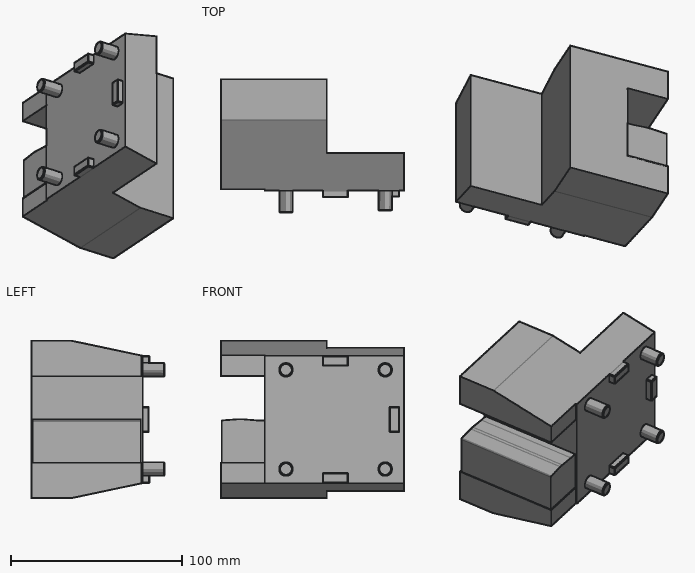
import cadquery as cq

length = 107.0
height = 92.0
body_depth = 65.2
mounting_height = 74.5
straight_depth = 23.6
thick_length = 62.0
thin_depth = 22.1

bay_length = 25.6
bay_half_height = 25.4
arm_setback = 0.7

block_left = 0.4
block_front = 1.2
block_back_gap = 0.7
block_side_top = -0.5
block_crown_top = 0.2
crown_start = 10.3
crown_end = 12.3
shoulder = 21.4
block_edge_radius = 0.5

pin_diameter = 8.0
tip_chamfer = 0.6
pin_spacing = 58.0
left_pin_x = 38.0
left_pin_length = 12.8
right_pin_length = 11.8

key_length = 15.0
key_width = 6.0
key_height = 4.0
side_key_height = 3.6
key_chamfer = 0.5
key_x = 66.9
side_key_x = 101.3


def box(x_start, x_end, y_start, y_end, z_start, z_end):
    """Box between two corners."""
    size = (x_end - x_start, y_end - y_start, z_end - z_start)
    return cq.Workplane("XY").box(*size, centered=False).translate((x_start, y_start, z_start))


def make_body():
    """Tapered block, thinner at the right end and open at the left end."""
    slope_end = body_depth - straight_depth
    half_height = height / 2
    half_mounting = mounting_height / 2
    taper = (
        cq.Workplane("YZ")
        .polyline([
            (0, -half_mounting),
            (slope_end, -half_height),
            (body_depth, -half_height),
            (body_depth, half_height),
            (slope_end, half_height),
            (0, half_mounting),
        ])
        .close()
        .extrude(length)
    )
    back_step = box(thick_length, length, thin_depth, body_depth, -half_height, half_height)
    bay = box(0, bay_length, 0, body_depth, -bay_half_height, bay_half_height)
    arm_relief = box(0, bay_length, 0, arm_setback, -half_height, half_height)
    return taper.cut(back_step).cut(bay).cut(arm_relief)


def make_block():
    """Crowned block standing on the lower arm."""
    block_depth = body_depth - block_back_gap - block_front
    return (
        cq.Workplane("XZ", origin=(0, block_front, 0))
        .polyline([
            (block_left, -bay_half_height),
            (bay_length, -bay_half_height),
            (bay_length, block_side_top),
            (shoulder, block_side_top),
            (crown_end, block_crown_top),
            (crown_start, block_crown_top),
            (block_left, block_side_top),
        ])
        .close()
        .extrude(-block_depth)
        .edges(cq.selectors.NearestToPointSelector((block_left, body_depth / 2, block_side_top)))
        .fillet(block_edge_radius)
    )


def make_pin(x, z, pin_length):
    """Round pin with a chamfered tip."""
    return (
        cq.Workplane("XZ", origin=(x, 0, z))
        .circle(pin_diameter / 2)
        .extrude(pin_length)
        .faces("<Y")
        .edges()
        .chamfer(tip_chamfer)
    )


def make_key(x, z, x_size, z_size, y_size):
    """Rectangular key with all exposed edges chamfered."""
    return (
        cq.Workplane("XZ", origin=(x, 0, z))
        .rect(x_size, z_size)
        .extrude(y_size)
        .edges("|Y or <Y")
        .chamfer(key_chamfer)
    )


result = make_body().union(make_block())

for pin_x, pin_length in (
    (left_pin_x, left_pin_length),
    (left_pin_x + pin_spacing, right_pin_length),
):
    for side in (-1, 1):
        result = result.union(make_pin(pin_x, side * pin_spacing / 2, pin_length))

key_z = (mounting_height - key_width) / 2
for side in (-1, 1):
    result = result.union(make_key(key_x, side * key_z, key_length, key_width, key_height))
result = result.union(make_key(side_key_x, 0, key_width, key_length, side_key_height))